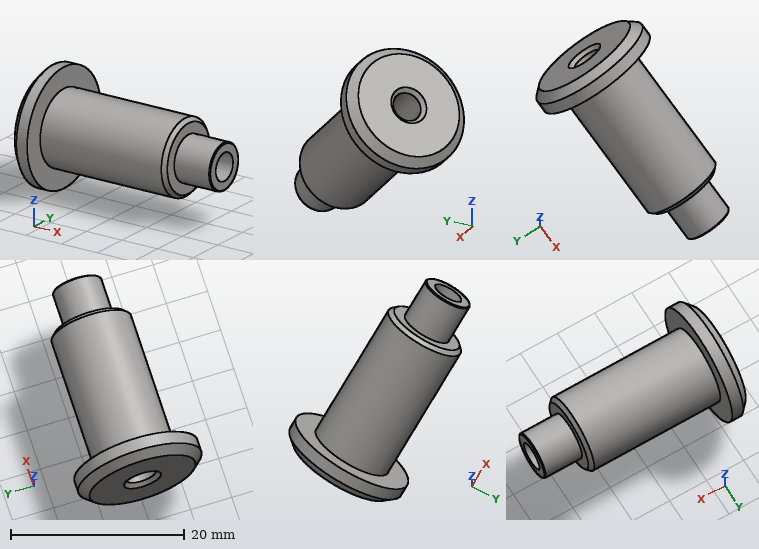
import cadquery as cq

total_length = 25.0
head_diameter = 15.0
head_thickness = 2.5
head_chamfer_length = 1.0
head_chamfer_depth = 1.08
body_diameter = 9.7
shoulder_position = 20.0
body_chamfer = 0.5
tip_diameter = 5.9
tip_chamfer = 0.12
bore_diameter = 3.5
bore_chamfer = 0.5


def cylinder(start, end, diameter):
    """Solid cylinder along X between two positions."""
    return cq.Workplane("YZ", origin=(start, 0, 0)).circle(diameter / 2).extrude(end - start)


def cone(length, start_diameter, end_diameter):
    """Solid truncated cone along X, starting at the head face."""
    start_circle = cq.Workplane("YZ").circle(start_diameter / 2)
    return start_circle.workplane(offset=length).circle(end_diameter / 2).loft(ruled=True)


head_rim = cylinder(head_chamfer_length, head_thickness, head_diameter)
head_bevel = cone(head_chamfer_length, head_diameter - 2 * head_chamfer_depth, head_diameter)
head = head_rim.union(head_bevel)
body = cylinder(head_thickness, shoulder_position, body_diameter).faces(">X").chamfer(body_chamfer)
tip = cylinder(shoulder_position, total_length, tip_diameter).faces(">X").chamfer(tip_chamfer)

bore = cylinder(0, total_length, bore_diameter)
countersink = cone(bore_chamfer, bore_diameter + 2 * bore_chamfer, bore_diameter)

result = head.union(body).union(tip).cut(bore).cut(countersink)